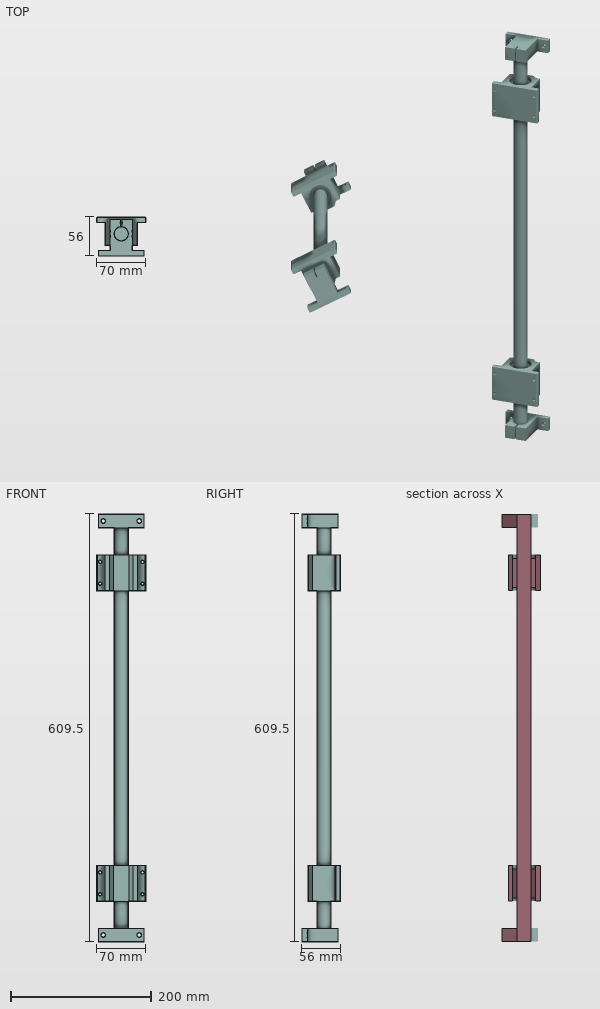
import cadquery as cq

shaft_length = 609.5
shaft_diameter = 20.0

support_thickness = 19.5
support_web_width = 32.0
support_foot_width = 65.0
support_foot_thickness = 8.0
support_front = -32.0
support_back = 20.0
clamp_slit_width = 2.5
foot_hole_diameter = 6.0
foot_hole_spacing = 51.0

housing_length = 51.0
housing_end_offset = 58.0
housing_back = 24.0
housing_front = -16.5
housing_body_width = 46.0
flange_width = 70.0
flange_thickness = 8.0
flange_chamfer = 0.9
rib_height = 6.0
rib_top_width = 22.5
rib_base_width = 33.0
flange_hole_diameter = 4.0
flange_hole_spacing_x = 60.5
flange_hole_spacing_z = 31.0

bearing_diameter = 32.0
bearing_length = 42.0


def make_shaft():
    return cq.Workplane("XY").circle(shaft_diameter / 2).extrude(shaft_length)


def make_support(bottom):
    foot_back = support_front + support_foot_thickness
    outline = [
        (support_foot_width / 2, support_front),
        (support_foot_width / 2, foot_back),
        (support_web_width / 2, foot_back),
        (support_web_width / 2, support_back),
        (-support_web_width / 2, support_back),
        (-support_web_width / 2, foot_back),
        (-support_foot_width / 2, foot_back),
        (-support_foot_width / 2, support_front),
    ]
    block = cq.Workplane("XY").polyline(outline).close().extrude(support_thickness)
    bore = cq.Workplane("XY").circle(shaft_diameter / 2).extrude(support_thickness)
    slit = (
        cq.Workplane("XY")
        .rect(clamp_slit_width, support_back)
        .extrude(support_thickness)
        .translate((0, support_back / 2, 0))
    )
    foot_holes = (
        cq.Workplane("XZ", origin=(0, foot_back, support_thickness / 2))
        .pushPoints([(-foot_hole_spacing / 2, 0), (foot_hole_spacing / 2, 0)])
        .circle(foot_hole_diameter / 2)
        .extrude(support_foot_thickness)
    )
    return block.cut(bore).cut(slit).cut(foot_holes).translate((0, 0, bottom))


def make_housing(bottom):
    flange_front = housing_back - flange_thickness
    flange_end = flange_width / 2
    right_half = [
        (rib_top_width / 2, housing_front - rib_height),
        (rib_base_width / 2, housing_front),
        (housing_body_width / 2, housing_front),
        (housing_body_width / 2, flange_front),
        (flange_end - flange_chamfer, flange_front),
        (flange_end, flange_front + flange_chamfer),
        (flange_end, housing_back - flange_chamfer),
        (flange_end - flange_chamfer, housing_back),
    ]
    left_half = [(-x, y) for x, y in reversed(right_half)]
    block = cq.Workplane("XY").polyline(right_half + left_half).close().extrude(housing_length)
    bore = cq.Workplane("XY").circle(bearing_diameter / 2).extrude(housing_length)
    flange_holes = (
        cq.Workplane("XZ", origin=(0, housing_back, housing_length / 2))
        .rarray(flange_hole_spacing_x, flange_hole_spacing_z, 2, 2)
        .circle(flange_hole_diameter / 2)
        .extrude(flange_thickness)
    )
    return block.cut(bore).cut(flange_holes).translate((0, 0, bottom))


def make_bearing(bottom):
    sleeve = (
        cq.Workplane("XY")
        .circle(bearing_diameter / 2)
        .circle(shaft_diameter / 2)
        .extrude(bearing_length)
    )
    return sleeve.translate((0, 0, bottom + (housing_length - bearing_length) / 2))


shaft = make_shaft()
supports = [make_support(z) for z in (0, shaft_length - support_thickness)]
housing_bottoms = (housing_end_offset, shaft_length - housing_end_offset - housing_length)
housings = [make_housing(z) for z in housing_bottoms]
bearings = [make_bearing(z) for z in housing_bottoms]

result = cq.Compound.makeCompound(
    [body.val() for body in [shaft, *supports, *housings, *bearings]]
)